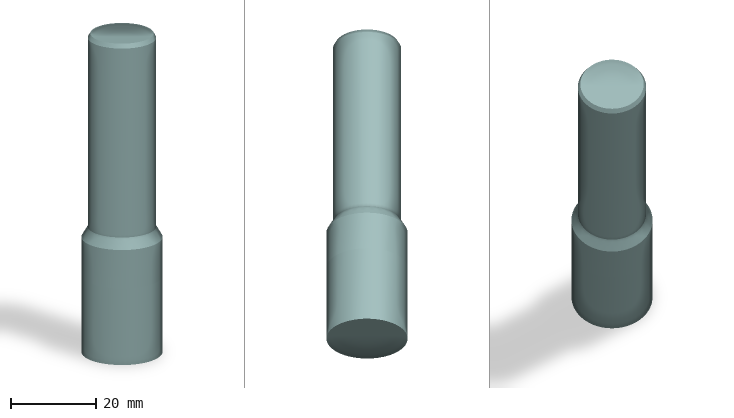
import cadquery as cq
import math

total_length = 79.0

head_diameter = 19.0
head_length = 18.95

collar_length = 9.55
shaft_diameter = 16.0
tip_chamfer_length = 1.0
taper_half_angle = math.radians(30)

head_radius = head_diameter / 2
shaft_radius = shaft_diameter / 2
tip_radius = shaft_radius - tip_chamfer_length * math.tan(taper_half_angle)
cone_length = (head_radius - shaft_radius) / math.tan(taper_half_angle)

collar_top = head_length + collar_length
cone_top = collar_top + cone_length
chamfer_start = total_length - tip_chamfer_length


def make_head():
    """Solid cylinder standing on the XY plane along Z."""
    return cq.Workplane("XY").circle(head_radius).extrude(head_length)


def make_shank():
    """Half profile in the XZ plane, (radius, height), revolved about Z."""
    return (
        cq.Workplane("XZ")
        .moveTo(0, head_length)
        .lineTo(head_radius, head_length)
        .lineTo(head_radius, collar_top)
        .lineTo(shaft_radius, cone_top)
        .lineTo(shaft_radius, chamfer_start)
        .lineTo(tip_radius, total_length)
        .lineTo(0, total_length)
        .close()
        .revolve(360, (0, 0), (0, 1))
    )


head = make_head()
shank = make_shank()
result = cq.Compound.makeCompound([head.val(), shank.val()])